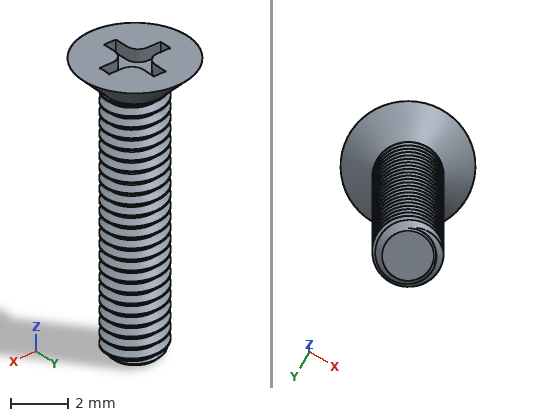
import cadquery as cq
import math

length = 12.0
head_diameter = 4.7
thread_diameter = 2.5
tip_diameter = 1.8

four_turn_rise = 1.8
pitch = four_turn_rise / 4
crest_height = 0.41
crest_width = pitch / 8
thread_depth = 0.28
root_overlap = 0.02
tan_flank = math.tan(math.radians(30))

recess_depth = 0.54
arm_reach = 1.37
arm_half_width = 0.26
arm_root = 0.79
corner_middle = 0.42

head_radius = head_diameter / 2
thread_radius = thread_diameter / 2
tip_radius = tip_diameter / 2
root_radius = thread_radius - thread_depth
head_height = head_radius - root_radius
head_base = length - head_height
thread_end = head_base + pitch


def make_core():
    """Root cylinder whose wall is two half-round faces, up to the inside of the head."""
    return (
        cq.Workplane("XY")
        .moveTo(0, root_radius)
        .threePointArc((-root_radius, 0), (0, -root_radius))
        .threePointArc((root_radius, 0), (0, root_radius))
        .close()
        .extrude(thread_end)
    )


def make_head():
    return (
        cq.Workplane("XZ")
        .moveTo(0, head_base)
        .lineTo(root_radius, head_base)
        .lineTo(head_radius, length)
        .lineTo(0, length)
        .close()
        .revolve(360, (0, 0), (0, 1))
    )


def make_thread():
    """Helical ridge bounded by four ruled faces and two flat ends."""
    start = crest_height - 2 * pitch
    rise = thread_end - start
    inner_radius = root_radius - root_overlap
    half_crest = crest_width / 2
    half_base = half_crest + (thread_radius - inner_radius) * tan_flank
    corners = [
        (inner_radius, -half_base),
        (thread_radius, -half_crest),
        (thread_radius, half_crest),
        (inner_radius, half_base),
    ]
    helices = [
        cq.Wire.makeHelix(pitch, rise, radius).translate(cq.Vector(0, 0, start + offset))
        for radius, offset in corners
    ]
    sides = [
        cq.Face.makeRuledSurface(helices[i - 1], helices[i])
        for i in range(len(helices))
    ]
    ends = []
    for at in (0, 1):
        points = [helix.positionAt(at) for helix in helices]
        ends.append(cq.Face.makeFromWires(cq.Wire.makePolygon(points, close=True)))
    shell = cq.Shell.makeShell(sides + ends)
    return cq.Workplane(cq.Solid.makeSolid(shell))


def make_tip_envelope():
    """Solid around the whole screw with a 45 degree cone at the tip."""
    return (
        cq.Workplane("XZ")
        .lineTo(tip_radius, 0)
        .lineTo(tip_radius + length, length)
        .lineTo(0, length)
        .close()
        .revolve(360, (0, 0), (0, 1))
    )


def make_recess():
    outline = cq.Workplane("XY", origin=(0, 0, length)).moveTo(arm_reach, -arm_half_width)
    for quarter in range(4):
        turn = math.radians(90 * quarter)

        def turned(x, y):
            return (
                x * math.cos(turn) - y * math.sin(turn),
                x * math.sin(turn) + y * math.cos(turn),
            )

        outline = (
            outline.lineTo(*turned(arm_reach, arm_half_width))
            .lineTo(*turned(arm_root, arm_half_width))
            .threePointArc(turned(corner_middle, corner_middle), turned(arm_half_width, arm_root))
            .lineTo(*turned(arm_half_width, arm_reach))
        )
    return outline.close().extrude(-recess_depth)


tip_envelope = make_tip_envelope()
thread = make_thread().intersect(tip_envelope)
shank = make_core().intersect(tip_envelope).union(thread, clean=False)
result = shank.union(make_head(), clean=False).cut(make_recess(), clean=False)